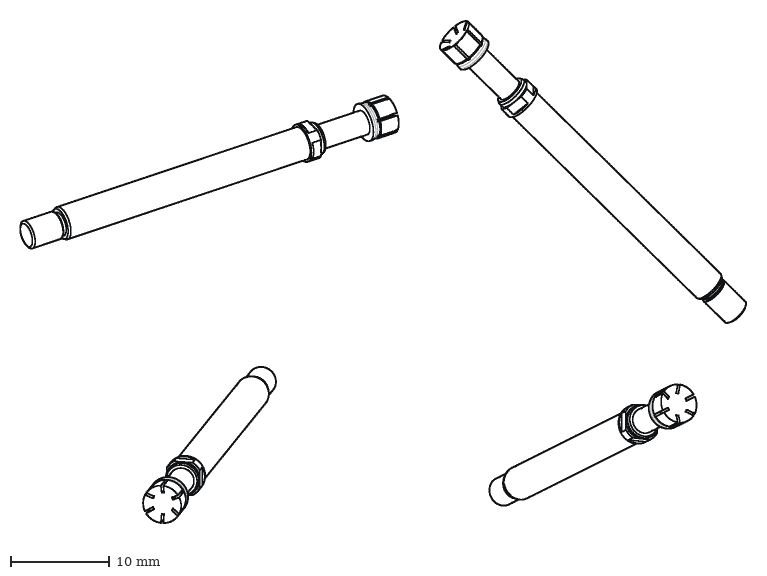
import cadquery as cq

total_length = 43.1

head_radius = 4.0 / 2
head_waist_radius = 3.9 / 2
stem_radius = 2.6 / 2
barrel_radius = 3.5 / 2
barrel_chamfer_radius = 3.25 / 2
neck_radius = 2.5 / 2
pin_radius = 2.97 / 2
pin_shoulder_radius = 2.7 / 2
pin_tip_radius = 2.45 / 2

head_edge = 2.05
head_waist_start = 2.2
head_waist_end = 2.5
head_rim_start = 2.75
head_length = 3.0
barrel_start = 8.45
barrel_end = 39.1
pin_start = 39.5

barrel_chamfer = 0.25
pin_shoulder_chamfer = 0.15
pin_tip_chamfer = 0.17

collar_radius = head_radius
collar_start = 9.1
flat_end = 10.15
collar_end = 10.4
flat_count = 4

cup_depth = 0.85

slot_count = 6
slot_width = 0.25
slot_depth = 0.85
slot_length = 2.3


def along_axis(distance):
    """Y position of a point at the given distance behind the head face."""
    return total_length - distance


def turned(stations):
    """Solid of revolution about Y from (distance behind head face, radius) pairs.

    The first and last pair lie on the axis.
    """
    outline = [(radius, along_axis(distance)) for distance, radius in stations]
    profile = cq.Workplane("XY").polyline(outline).close()
    return profile.revolve(360, (0, 0, 0), (0, 1, 0))


def make_body():
    return turned([
        (cup_depth, 0),
        (0, head_radius),
        (head_edge, head_radius),
        (head_waist_start, head_waist_radius),
        (head_waist_end, head_waist_radius),
        (head_rim_start, head_radius),
        (head_length, head_radius),
        (head_length, stem_radius),
        (barrel_start, stem_radius),
        (barrel_start, barrel_chamfer_radius),
        (barrel_start + barrel_chamfer, barrel_radius),
        (barrel_end - barrel_chamfer, barrel_radius),
        (barrel_end, barrel_chamfer_radius),
        (barrel_end, neck_radius),
        (pin_start, neck_radius),
        (pin_start, pin_shoulder_radius),
        (pin_start + pin_shoulder_chamfer, pin_radius),
        (total_length - pin_tip_chamfer, pin_radius),
        (total_length, pin_tip_radius),
        (total_length, 0),
    ])


def cut_around(body, cutter, count):
    """Cut count copies of the cutter, evenly spaced about the Y axis."""
    for index in range(count):
        body = body.cut(cutter.rotate((0, 0, 0), (0, 1, 0), index * 360 / count))
    return body


def make_collar():
    """Round collar whose four flats stop short of its rear edge."""
    collar = turned([
        (collar_start, 0),
        (collar_start, collar_radius),
        (collar_end, collar_radius),
        (collar_end, 0),
    ])
    flat_length = flat_end - collar_start
    cutter = (
        cq.Workplane("XY")
        .box(2 * collar_radius, flat_length, collar_radius, centered=(True, False, False))
        .translate((0, along_axis(flat_end), barrel_radius))
    )
    return cut_around(collar, cutter, flat_count)


def cut_head_slots(body):
    slot = (
        cq.Workplane("XY")
        .box(slot_width, slot_length, head_radius, centered=(True, False, False))
        .translate((0, along_axis(slot_length), head_radius - slot_depth))
    )
    return cut_around(body, slot, slot_count)


result = cut_head_slots(make_body().union(make_collar()))